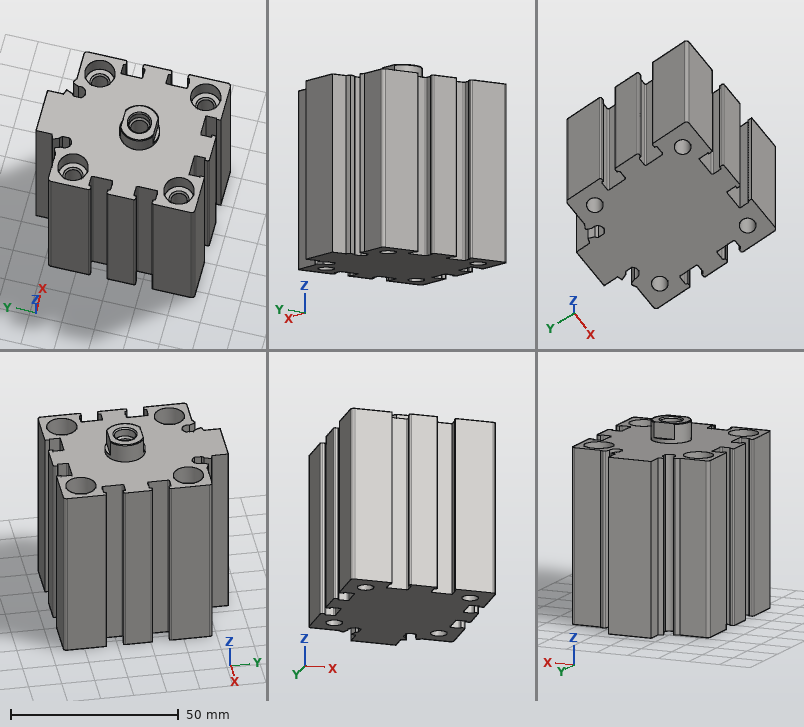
import cadquery as cq
import math

HOUSING_WIDTH = 45.0
HOUSING_HEIGHT = 54.0
HALF_WIDTH = HOUSING_WIDTH / 2
CORNER_RADIUS = 1.0

BLOCK_WIDTH = 14.0
BLOCK_REACH = 7.5

SHOULDER_DIAMETER = 51.95
SHOULDER_WIDTH = 27.0

SLANT_ANGLE = 22.6
SLANT_SLOT_WIDTH = 3.0
SLANT_ROUND_DIAMETER = 3.95
SLANT_ROUND_DISTANCE = 22.5
SHOULDER_TIP_RADIUS = 0.5

SLOT_OFFSET = 6.9
SLOT_INNER_WIDTH = 6.6
SLOT_NEAR_LIP = 4.4
SLOT_FAR_LIP = 9.5
SLOT_FAR_LIP_SHORT = 9.85
SLOT_LIP_THICKNESS = 1.4
SLOT_DEPTH = 4.7
SLOT_CORNER_RADIUS = 0.5
LIP_RADIUS = 0.5

MOUNT_SPACING = 32.5
MOUNT_DIAMETER = 4.9
MOUNT_SINK_DIAMETER = 6.0
MOUNT_BORE_DIAMETER = 9.0
MOUNT_BORE_DEPTH = 5.7

ROD_DIAMETER = 12.0
ROD_TOP = 60.0
ROD_CHAMFER = 0.25
ROD_SEAT_DEPTH = 24.0
FLAT_DISTANCE = 10.0
FLAT_BOTTOM = 55.2

ROD_HOLE_DIAMETER = 5.2
ROD_HOLE_DEPTH = 12.0
ROD_HOLE_TIP_ANGLE = 120.0
ROD_BORE_DIAMETER = 6.4
ROD_BORE_DEPTH = 2.75
ROD_MOUTH_DIAMETER = 7.2


def lip_rounding(lip_edge, direction):
    """Cutter that rounds a lip on the -Y side; the lip lies from lip_edge towards direction (-1 or 1)."""
    outer_face = -HALF_WIDTH
    corner = (
        cq.Workplane("XY")
        .center(lip_edge + direction * LIP_RADIUS / 2, outer_face + LIP_RADIUS / 2)
        .rect(LIP_RADIUS, LIP_RADIUS)
        .extrude(HOUSING_HEIGHT)
    )
    kept_round = (
        cq.Workplane("XY")
        .center(lip_edge + direction * LIP_RADIUS, outer_face + LIP_RADIUS)
        .circle(LIP_RADIUS)
        .extrude(HOUSING_HEIGHT)
    )
    return corner.cut(kept_round)


def t_slot(short_far_lip):
    """T-slot cutter open to the -Y side, on the +X half of that side."""
    outer_face = -HALF_WIDTH
    far_lip = SLOT_FAR_LIP_SHORT if short_far_lip else SLOT_FAR_LIP
    opening = (
        cq.Workplane("XY")
        .center((SLOT_NEAR_LIP + far_lip) / 2, outer_face + SLOT_DEPTH / 2)
        .rect(far_lip - SLOT_NEAR_LIP, SLOT_DEPTH)
        .extrude(HOUSING_HEIGHT)
    )
    chamber_depth = SLOT_DEPTH - SLOT_LIP_THICKNESS
    chamber = (
        cq.Workplane("XY")
        .center(SLOT_OFFSET, outer_face + SLOT_LIP_THICKNESS + chamber_depth / 2)
        .rect(SLOT_INNER_WIDTH, chamber_depth)
        .extrude(HOUSING_HEIGHT)
    )
    rounded_corners = "|Z and >Y and <X" if short_far_lip else "|Z"
    chamber = chamber.edges(rounded_corners).fillet(SLOT_CORNER_RADIUS)

    slot = opening.union(chamber).union(lip_rounding(SLOT_NEAR_LIP, -1))
    if not short_far_lip:
        slot = slot.union(lip_rounding(far_lip, 1))
    return slot


def slanted_slot(side):
    """Radial slot cutter with a round bottom; side is -1 for -X and 1 for +X."""
    reach = HALF_WIDTH + BLOCK_REACH - SLANT_ROUND_DISTANCE
    channel = (
        cq.Workplane("XY")
        .center(0, SLANT_ROUND_DISTANCE + reach / 2)
        .rect(SLANT_SLOT_WIDTH, reach)
        .extrude(HOUSING_HEIGHT)
    )
    round_bottom = (
        cq.Workplane("XY")
        .center(0, SLANT_ROUND_DISTANCE)
        .circle(SLANT_ROUND_DIAMETER / 2)
        .extrude(HOUSING_HEIGHT)
    )
    return channel.union(round_bottom).rotate((0, 0, 0), (0, 0, 1), -side * SLANT_ANGLE)


def round_shoulder_tips(body):
    """Round the two tips where the slanted slots leave the shoulder towards the corners."""
    tip_distance = SHOULDER_DIAMETER / 2
    tip_angle = math.radians(SLANT_ANGLE) + math.asin(SLANT_SLOT_WIDTH / 2 / tip_distance)
    for side in (-1, 1):
        tip = (
            side * tip_distance * math.sin(tip_angle),
            tip_distance * math.cos(tip_angle),
            HOUSING_HEIGHT / 2,
        )
        body = body.edges(cq.NearestToPointSelector(tip)).fillet(SHOULDER_TIP_RADIUS)
    return body


def mounting_hole(x, y):
    """Counterbored through-hole cutter with a 45 degree countersink on the counterbore floor."""
    hole_radius = MOUNT_DIAMETER / 2
    sink_radius = MOUNT_SINK_DIAMETER / 2
    bore_radius = MOUNT_BORE_DIAMETER / 2
    floor = HOUSING_HEIGHT - MOUNT_BORE_DEPTH
    half_section = [
        (0, 0),
        (hole_radius, 0),
        (hole_radius, floor - (sink_radius - hole_radius)),
        (sink_radius, floor),
        (bore_radius, floor),
        (bore_radius, HOUSING_HEIGHT),
        (0, HOUSING_HEIGHT),
    ]
    return cq.Workplane("XZ").polyline(half_section).close().revolve().translate((x, y, 0))


def build_housing():
    body = (
        cq.Workplane("XY")
        .rect(HOUSING_WIDTH, HOUSING_WIDTH)
        .extrude(HOUSING_HEIGHT)
        .edges("|Z")
        .fillet(CORNER_RADIUS)
    )

    shoulder_radius = SHOULDER_DIAMETER / 2
    shoulder_strip = (
        cq.Workplane("XY")
        .center(0, shoulder_radius / 2)
        .rect(SHOULDER_WIDTH, shoulder_radius)
        .extrude(HOUSING_HEIGHT)
    )
    disc = cq.Workplane("XY").circle(shoulder_radius).extrude(HOUSING_HEIGHT)
    body = body.union(disc.intersect(shoulder_strip))

    for side in (-1, 1):
        body = body.cut(slanted_slot(side))
    body = round_shoulder_tips(body)

    block_length = HALF_WIDTH + BLOCK_REACH
    block = (
        cq.Workplane("XY")
        .center(0, block_length / 2)
        .rect(BLOCK_WIDTH, block_length)
        .extrude(HOUSING_HEIGHT)
    )
    body = body.union(block)

    for turn in (0, -90, 90):
        slot = t_slot(short_far_lip=(turn == 0))
        for half in (slot, slot.mirror("YZ")):
            body = body.cut(half.rotate((0, 0, 0), (0, 0, 1), turn))

    for x in (-MOUNT_SPACING / 2, MOUNT_SPACING / 2):
        for y in (-MOUNT_SPACING / 2, MOUNT_SPACING / 2):
            body = body.cut(mounting_hole(x, y))

    rod_seat = (
        cq.Workplane("XY")
        .workplane(offset=HOUSING_HEIGHT - ROD_SEAT_DEPTH)
        .circle(ROD_DIAMETER / 2)
        .extrude(ROD_SEAT_DEPTH)
    )
    return body.cut(rod_seat)


def rod_hole():
    """Hole cutter with a conical mouth, a short wide bore, a 45 degree step and a drilled tip."""
    hole_radius = ROD_HOLE_DIAMETER / 2
    bore_radius = ROD_BORE_DIAMETER / 2
    mouth_radius = ROD_MOUTH_DIAMETER / 2
    bore_floor = ROD_TOP - ROD_BORE_DEPTH
    hole_floor = ROD_TOP - ROD_HOLE_DEPTH
    tip_height = hole_radius / math.tan(math.radians(ROD_HOLE_TIP_ANGLE / 2))
    half_section = [
        (0, hole_floor - tip_height),
        (hole_radius, hole_floor),
        (hole_radius, bore_floor - (bore_radius - hole_radius)),
        (bore_radius, bore_floor),
        (bore_radius, ROD_TOP - (mouth_radius - bore_radius)),
        (mouth_radius, ROD_TOP),
        (0, ROD_TOP),
    ]
    return cq.Workplane("XZ").polyline(half_section).close().revolve()


def build_rod():
    rod_bottom = HOUSING_HEIGHT - ROD_SEAT_DEPTH
    rod = (
        cq.Workplane("XY")
        .workplane(offset=rod_bottom)
        .circle(ROD_DIAMETER / 2)
        .extrude(ROD_TOP - rod_bottom)
        .faces(">Z")
        .chamfer(ROD_CHAMFER)
    )

    flat_height = ROD_TOP - FLAT_BOTTOM
    for side in (-1, 1):
        flat_cut = (
            cq.Workplane("XY")
            .workplane(offset=FLAT_BOTTOM)
            .center(0, side * (FLAT_DISTANCE + ROD_DIAMETER) / 2)
            .rect(ROD_DIAMETER, ROD_DIAMETER)
            .extrude(flat_height)
        )
        rod = rod.cut(flat_cut)
    return rod.cut(rod_hole())


housing = build_housing()
rod = build_rod()
result = cq.Compound.makeCompound([housing.val(), rod.val()])